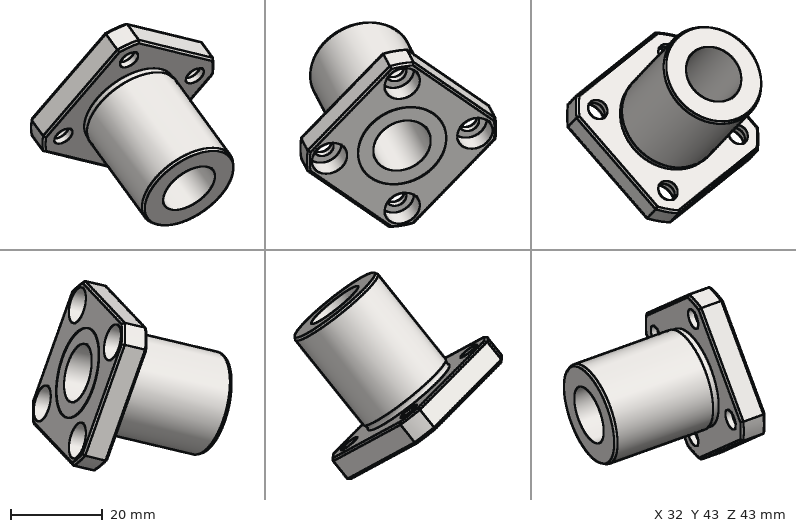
import cadquery as cq

flange_thickness = 6.0
flange_diameter = 42.95
flange_square = 33.95
flange_chamfer = 0.5

overall_length = 32.0
sleeve_diameter = 23.0
end_chamfer_length = 0.65
end_chamfer_depth = 0.35
bore_diameter = 13.0

recess_diameter = 20.0
recess_depth = 0.15

relief_width = 1.5
relief_depth = 0.3
relief_root_diameter = sleeve_diameter - 2 * relief_depth
relief_flange_diameter = 22.6

hole_circle_diameter = 33.0
hole_diameter = 4.5
counterbore_diameter = 8.0
counterbore_depth = 4.4
hole_count = 4


def make_flange():
    """Corner-standing square plate with round corners and chamfered rims."""
    square = (
        cq.Workplane("YZ")
        .rect(flange_square, flange_square)
        .extrude(flange_thickness)
        .rotate((0, 0, 0), (1, 0, 0), 45)
    )
    disc = cq.Workplane("YZ").circle(flange_diameter / 2).extrude(flange_thickness)
    return square.intersect(disc).faces("<X or >X").chamfer(flange_chamfer)


def make_sleeve():
    """Turned sleeve with the relief groove at the flange and a chamfered free end."""
    radius = sleeve_diameter / 2
    relief_end = flange_thickness + relief_width
    return (
        cq.Workplane("XY")
        .moveTo(0, 0)
        .lineTo(0, relief_flange_diameter / 2)
        .lineTo(flange_thickness, relief_flange_diameter / 2)
        .threePointArc(
            (flange_thickness + relief_width / 2, relief_root_diameter / 2),
            (relief_end, radius),
        )
        .lineTo(overall_length - end_chamfer_length, radius)
        .lineTo(overall_length, radius - end_chamfer_depth)
        .lineTo(overall_length, 0)
        .close()
        .revolve(360, (0, 0, 0), (1, 0, 0))
    )


def make_hole_cutters():
    """Through holes with counterbores that open on the front face of the flange."""
    def holes(diameter, depth):
        return (
            cq.Workplane("YZ")
            .polarArray(hole_circle_diameter / 2, 0, 360, hole_count)
            .circle(diameter / 2)
            .extrude(depth)
        )

    return holes(hole_diameter, flange_thickness).union(holes(counterbore_diameter, counterbore_depth))


bore = cq.Workplane("YZ").circle(bore_diameter / 2).extrude(overall_length)
front_recess = cq.Workplane("YZ").circle(recess_diameter / 2).extrude(recess_depth)

result = make_flange().union(make_sleeve()).cut(make_hole_cutters()).cut(bore).cut(front_recess)